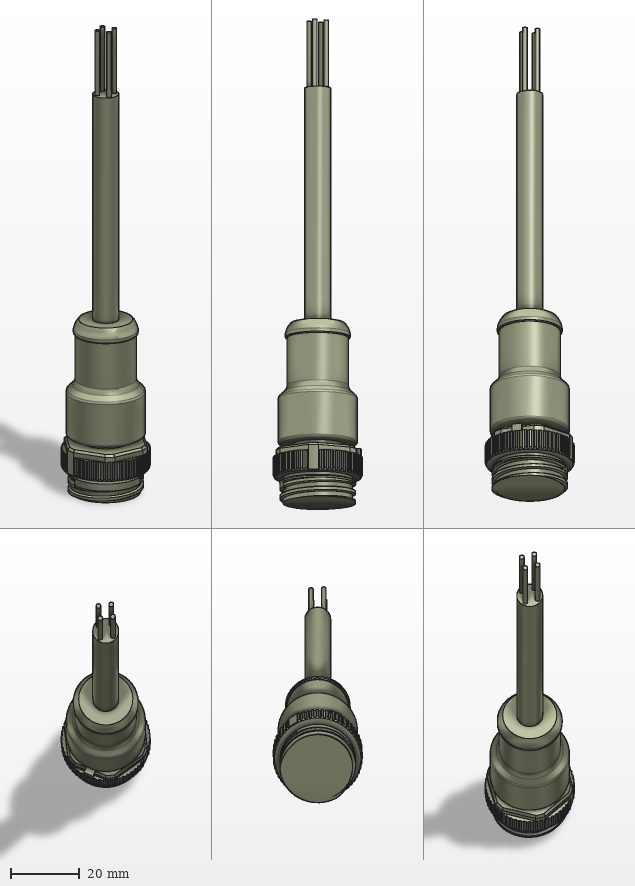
import cadquery as cq
import math

overall_height = 143.3
wire_length = 20.0
cable_end_z = overall_height - wire_length
body_top_z = 53.4
body_bottom_z = 17.5
nut_top_z = 15.7
knurl_top_z = 13.5
knurl_bottom_z = 7.5

cable_radius = 3.8
wire_count = 4
wire_radius = 0.7
wire_circle_radius = 2.65
wire_anchor_depth = 1.0

body_radius = 11.6
body_edge_fillet = 0.8
grip_radius = 9.0
collar_radius = 9.5
collar_top_radius = 7.9
collar_widest_z = 50.3
collar_bottom_z = 49.0
collar_crown_radius = 8.9
collar_crown_z = 52.1
collar_edge_chamfer = 0.3
shoulder_bottom_z = 31.4
shoulder_top_z = 33.85
shoulder_outer_fillet = 1.0
shoulder_inner_fillet = 2.4
neck_radius = 7.25
rim_tolerance = 0.1

hex_sides = 6
hex_apothem = 11.7
hex_corner_radius = 12.75
hex_flat_angle = 14.0
hex_top_chamfer_height = 0.65
hex_top_chamfer_run = 0.7
knurl_radius = 13.0
knurl_floor_radius = hex_corner_radius
knurl_bottom_chamfer_height = 0.7
knurl_bottom_chamfer_run = 0.4
pitches_per_side = 29
groove_pitch = 180.0 / pitches_per_side
groove_mouth_share = 0.65
groove_floor_share = 0.35
groove_mouth_angle = groove_mouth_share * groove_pitch
groove_floor_angle = groove_floor_share * groove_pitch
wide_gap_extra_angle = 2 * groove_pitch
gap_angle = hex_flat_angle + 90.0

rib_angle = hex_flat_angle + 180.0
rib_width = 2.9

thread_root_radius = 10.2
thread_crest_radius = 11.05
thread_pitch = 2.8
thread_turns = 2.75
thread_base_width = 1.7
thread_crest_width = 0.9
thread_start_z = -1.3
thread_embed = 0.3

runout_radius = 11.1
runout_top_z = 6.6
runout_bottom_z = 5.2
stop_bottom_z = 3.5
stop_start_angle = gap_angle + 180.0
stop_sweep = 120.0
runout_flank_height = 0.45


def cylinder(radius, bottom_z, top_z):
    return cq.Workplane("XY").workplane(offset=bottom_z).circle(radius).extrude(top_z - bottom_z)


def polar(radius, degrees):
    angle = math.radians(degrees)
    return (radius * math.cos(angle), radius * math.sin(angle))


def make_cable():
    cable = cylinder(cable_radius, body_top_z - wire_anchor_depth, cable_end_z)
    for index in range(wire_count):
        wire = cylinder(wire_radius, cable_end_z - wire_anchor_depth, overall_height)
        x, y = polar(wire_circle_radius, index * 360.0 / wire_count)
        cable = cable.union(wire.translate((x, y, 0)))
    return cable


def make_body():
    profile = (
        cq.Workplane("XZ")
        .moveTo(0, body_bottom_z)
        .lineTo(body_radius, body_bottom_z)
        .lineTo(body_radius, shoulder_bottom_z)
        .lineTo(grip_radius, shoulder_top_z)
        .lineTo(grip_radius, collar_bottom_z)
        .lineTo(collar_radius - collar_edge_chamfer, collar_bottom_z)
        .lineTo(collar_radius, collar_bottom_z + collar_edge_chamfer)
        .lineTo(collar_radius, collar_widest_z)
        .threePointArc((collar_crown_radius, collar_crown_z), (collar_top_radius, body_top_z))
        .lineTo(0, body_top_z)
        .close()
    )
    body = profile.revolve(360, (0, 0, 0), (0, 1, 0))

    def rim(radius, z):
        reach = radius + rim_tolerance
        low = (-reach, -reach, z - rim_tolerance)
        high = (reach, reach, z + rim_tolerance)
        return cq.selectors.BoxSelector(low, high, boundingbox=True)

    body = body.edges(rim(body_radius, body_bottom_z)).fillet(body_edge_fillet)
    body = body.edges(rim(body_radius, shoulder_bottom_z)).fillet(shoulder_outer_fillet)
    return body.edges(rim(grip_radius, shoulder_top_z)).fillet(shoulder_inner_fillet)


def make_hexagon():
    across_corners = 2 * hex_apothem / math.cos(math.pi / hex_sides)
    hexagon = (
        cq.Workplane("XY")
        .workplane(offset=knurl_bottom_z)
        .polygon(hex_sides, across_corners)
        .extrude(nut_top_z - knurl_bottom_z)
        .rotate((0, 0, 0), (0, 0, 1), hex_flat_angle + 180.0 / hex_sides)
        .intersect(cylinder(hex_corner_radius, knurl_bottom_z, nut_top_z))
    )
    return hexagon.faces(">Z").chamfer(hex_top_chamfer_height, hex_top_chamfer_run)


def make_rib():
    return (
        cq.Workplane("XY")
        .workplane(offset=knurl_top_z)
        .center((hex_corner_radius + neck_radius) / 2, 0)
        .rect(hex_corner_radius - neck_radius, rib_width)
        .extrude(nut_top_z - knurl_top_z)
        .rotate((0, 0, 0), (0, 0, 1), rib_angle)
    )


def make_knurled_band():
    outline = []

    def add_groove(center, mouth, floor):
        outline.append(polar(knurl_radius, center - mouth / 2))
        outline.append(polar(knurl_floor_radius, center - floor / 2))
        outline.append(polar(knurl_floor_radius, center + floor / 2))
        outline.append(polar(knurl_radius, center + mouth / 2))

    for gap_center in (gap_angle, gap_angle + 180.0):
        add_groove(
            gap_center,
            groove_mouth_angle + wide_gap_extra_angle,
            groove_floor_angle + wide_gap_extra_angle,
        )
        for step in range(2, pitches_per_side - 1):
            add_groove(gap_center + step * groove_pitch, groove_mouth_angle, groove_floor_angle)
    return (
        cq.Workplane("XY")
        .workplane(offset=knurl_bottom_z)
        .polyline(outline)
        .close()
        .extrude(knurl_top_z - knurl_bottom_z)
    )


def make_nut():
    envelope = cylinder(knurl_radius, knurl_bottom_z, nut_top_z)
    envelope = envelope.faces("<Z").chamfer(knurl_bottom_chamfer_height, knurl_bottom_chamfer_run)
    return make_hexagon().union(make_knurled_band()).union(make_rib()).intersect(envelope)


def make_thread():
    root = thread_root_radius - thread_embed
    height = thread_turns * thread_pitch
    path = cq.Wire.makeHelix(thread_pitch, height, root)
    ridge = (
        cq.Workplane("XZ")
        .polyline(
            [
                (root, -thread_base_width / 2),
                (thread_crest_radius, -thread_crest_width / 2),
                (thread_crest_radius, thread_crest_width / 2),
                (root, thread_base_width / 2),
            ]
        )
        .close()
        .sweep(cq.Workplane(obj=path), isFrenet=True)
    )
    ridge = ridge.translate((0, 0, thread_start_z))
    return ridge.intersect(cylinder(runout_radius, 0, runout_top_z - runout_flank_height))


def make_root_with_runout(bottom_z, sweep):
    """Thread root with a full collar at its top, whose lower edge lies at bottom_z."""
    return (
        cq.Workplane("XZ")
        .lineTo(thread_root_radius, 0)
        .lineTo(thread_root_radius, bottom_z)
        .lineTo(runout_radius, bottom_z + runout_flank_height)
        .lineTo(runout_radius, runout_top_z - runout_flank_height)
        .lineTo(thread_root_radius, runout_top_z)
        .lineTo(thread_root_radius, knurl_bottom_z)
        .lineTo(0, knurl_bottom_z)
        .close()
        .revolve(sweep, (0, 0, 0), (0, 1, 0))
    )


def make_plug():
    stop = make_root_with_runout(stop_bottom_z, stop_sweep)
    stop = stop.rotate((0, 0, 0), (0, 0, 1), stop_start_angle)
    return make_root_with_runout(runout_bottom_z, 360.0).union(stop).union(make_thread())


neck = cylinder(neck_radius, nut_top_z, body_bottom_z)

result = make_plug().union(make_nut()).union(neck).union(make_body()).union(make_cable())